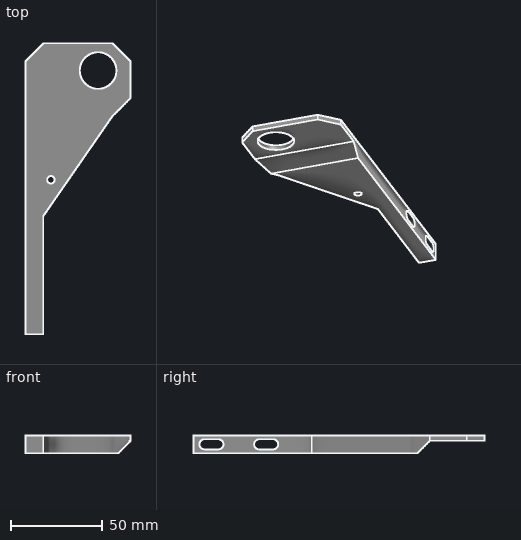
import cadquery as cq

length = 160.0
width = 58.0
height = 10.0

arm_width = 10.0
arm_length = 65.0
corner_chamfer = 10.0
head_side_start = 130.0
flare_end_x = 48.0
flare_end_y = head_side_start - (width - flare_end_x)

head_thickness = 3.0
step_top_y = 130.0
step_drop = height - head_thickness

large_hole_diameter = 20.0
large_hole_center = (40.0, 145.0)
small_hole_diameter = 4.0
small_hole_center = (14.0, 85.0)

slot_length = 13.1
slot_width = 5.5
slot_centers_y = (10.0, 40.0)


def plate_blank():
    outline = [
        (0, 0),
        (arm_width, 0),
        (arm_width, arm_length),
        (flare_end_x, flare_end_y),
        (width, head_side_start),
        (width, length - corner_chamfer),
        (width - corner_chamfer, length),
        (corner_chamfer, length),
        (0, length - corner_chamfer),
    ]
    return cq.Workplane("XY").polyline(outline).close().extrude(height)


def head_relief():
    """Material removed below the thin head, bounded by the sloped step."""
    profile = [
        (step_top_y - step_drop, 0),
        (step_top_y, step_drop),
        (length, step_drop),
        (length, 0),
    ]
    return cq.Workplane("YZ").polyline(profile).close().extrude(width)


def vertical_hole(center, diameter):
    return cq.Workplane("XY").center(*center).circle(diameter / 2).extrude(height)


def arm_slots():
    """Slots crossing the whole part along X at mid height."""
    centers = [(y, height / 2) for y in slot_centers_y]
    return cq.Workplane("YZ").pushPoints(centers).slot2D(slot_length, slot_width).extrude(width)


result = (
    plate_blank()
    .cut(head_relief())
    .cut(vertical_hole(large_hole_center, large_hole_diameter))
    .cut(vertical_hole(small_hole_center, small_hole_diameter))
    .cut(arm_slots())
)